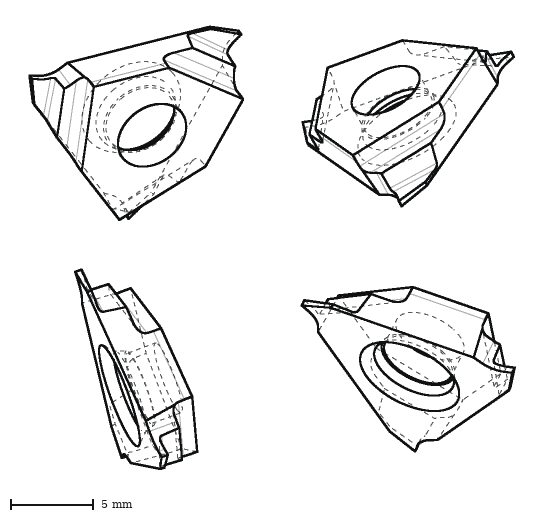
import cadquery as cq
import math

CORNERS = 3
CORNER_ANGLE = 360 / CORNERS
THICKNESS = 3.19
OVERALL_WIDTH = 13.79

FACE_INRADIUS = 4.51
BACK_INRADIUS = 4.72
FLARE_DEPTH = 2.68

GROOVE_START = (-3.34, 4.99)
GROOVE_ARC_START = (-4.79, 4.18)
GROOVE_ARC_MIDDLE = (-5.5, 4.0)
GROOVE_ARC_END = (-6.22, 4.12)
TIP_Y = -6.72
TIP = (TIP_Y, (OVERALL_WIDTH + 1.5 * TIP_Y) / math.sin(math.radians(CORNER_ANGLE)))
FLANK_END = (-6.33, 0.69)
OUTSIDE_Y = -9.65
OUTSIDE_Z = 5.52

TOOTH_WALL_DISTANCE = 5.78
TOOTH_WALL_LEAN = 8.0
TOOTH_WALL_DRAFT = 3.5
TOOTH_FLOOR_X = 0.19
TOOTH_FLOOR_RISE = 3.9
TOOTH_ROOT_RADIUS = 0.22

BACK_WALL_DISTANCE = 4.43
BACK_WALL_LEAN = 7.5
BACK_FLOOR_X = 1.78
BACK_ROOT_RADIUS = 0.5

CUTTER_REACH = 6.2
CUTTER_HEIGHT = 4.14
CUTTER_HALF_LENGTH = 8.27

SEAT_MOUTH_RADIUS = 3.25
SEAT_THROAT_RADIUS = 2.62
SEAT_BOTTOM_RADIUS = 2.4
BORE_RADIUS = 2.25
SEAT_THROAT_DEPTH = 0.69
SEAT_BOTTOM_DEPTH = 1.34


def triangle(inradius):
    """Corner points of a triangle with one flat side on top."""
    half_side = inradius * math.sqrt(3)
    return [(half_side, inradius), (-half_side, inradius), (0, -2 * inradius)]


def make_body():
    flared = (
        cq.Workplane("YZ")
        .polyline(triangle(FACE_INRADIUS)).close()
        .workplane(offset=FLARE_DEPTH)
        .polyline(triangle(BACK_INRADIUS)).close()
        .loft(ruled=True)
    )
    straight = (
        cq.Workplane("YZ", origin=(FLARE_DEPTH, 0, 0))
        .polyline(triangle(BACK_INRADIUS)).close()
        .extrude(THICKNESS - FLARE_DEPTH)
    )
    return flared.union(straight, clean=False)


def edge_cutter():
    """Material outside the chip groove and the flank of one tooth."""
    return (
        cq.Workplane("YZ")
        .moveTo(*GROOVE_START)
        .lineTo(*GROOVE_ARC_START)
        .threePointArc(GROOVE_ARC_MIDDLE, GROOVE_ARC_END)
        .lineTo(*TIP)
        .lineTo(*FLANK_END)
        .lineTo(OUTSIDE_Y, FLANK_END[1])
        .lineTo(OUTSIDE_Y, OUTSIDE_Z)
        .lineTo(GROOVE_START[0], OUTSIDE_Z)
        .close()
        .extrude(THICKNESS)
    )


def relief_cutter(wall_distance, lean, floor_x, root_radius, draft=0.0, floor_rise=0.0):
    """Step outside a leaning wall, with a floor facing +X and a rounded root."""
    lean = math.radians(lean)
    rise = math.radians(floor_rise)
    outward = cq.Vector(0, -math.cos(lean), math.sin(lean))
    along = cq.Vector(math.sin(rise), math.sin(lean) * math.cos(rise), math.cos(lean) * math.cos(rise))
    root = outward * wall_distance + cq.Vector(floor_x, 0, 0)
    plane = cq.Plane(origin=root - along * CUTTER_HALF_LENGTH, xDir=outward, normal=along)
    wall_shift = CUTTER_HEIGHT * math.tan(math.radians(draft))
    return (
        cq.Workplane(plane)
        .polyline([(0, 0), (CUTTER_REACH, 0), (CUTTER_REACH, CUTTER_HEIGHT), (-wall_shift, CUTTER_HEIGHT)])
        .close()
        .extrude(2 * CUTTER_HALF_LENGTH)
        .edges(cq.selectors.NearestToPointSelector(root.toTuple()))
        .fillet(root_radius)
    )


def screw_hole():
    """Stepped conical screw seat with a small ledge above the bore."""
    profile = [
        (0, 0),
        (0, SEAT_MOUTH_RADIUS),
        (SEAT_THROAT_DEPTH, SEAT_THROAT_RADIUS),
        (SEAT_BOTTOM_DEPTH, SEAT_BOTTOM_RADIUS),
        (SEAT_BOTTOM_DEPTH, BORE_RADIUS),
        (THICKNESS, BORE_RADIUS),
        (THICKNESS, 0),
    ]
    return cq.Workplane("XY").polyline(profile).close().revolve(360, (0, 0, 0), (1, 0, 0))


corner_cutters = [
    edge_cutter(),
    relief_cutter(
        TOOTH_WALL_DISTANCE, TOOTH_WALL_LEAN, TOOTH_FLOOR_X, TOOTH_ROOT_RADIUS,
        draft=TOOTH_WALL_DRAFT, floor_rise=TOOTH_FLOOR_RISE,
    ),
    relief_cutter(BACK_WALL_DISTANCE, BACK_WALL_LEAN, BACK_FLOOR_X, BACK_ROOT_RADIUS),
]

result = make_body().cut(screw_hole())
for corner in range(CORNERS):
    for cutter in corner_cutters:
        result = result.cut(cutter.rotate((0, 0, 0), (1, 0, 0), corner * CORNER_ANGLE))